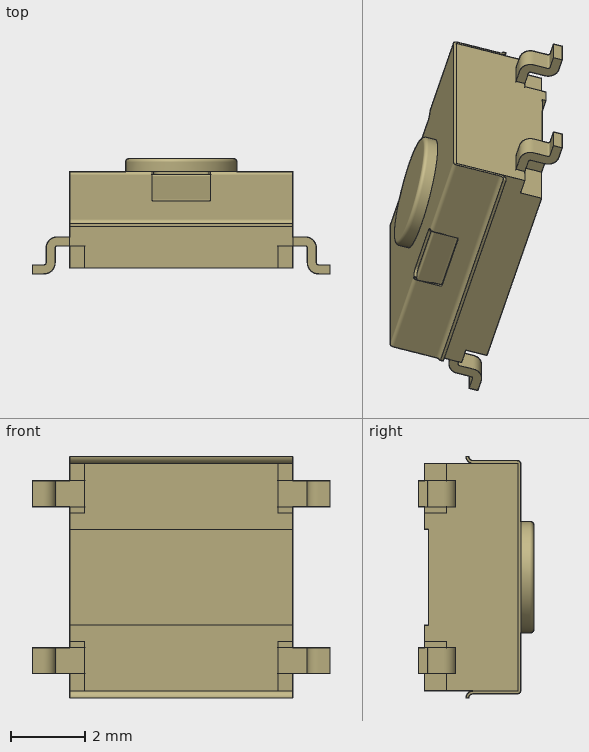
import cadquery as cq
import math


housing_width = 6.0
housing_depth = 6.11
housing_bottom = 0.16
housing_top = 2.67
channel_width = 2.58
channel_depth = 0.1
corner_notch_width = 0.41
corner_notch_inner_z = 1.73

sheet = 0.08
cover_corner_radius = 0.1
flange_end = 1.46
lip_inner_radius = 0.11
lip_tip_radius = 0.04

latch_width = 1.58
latch_base = 2.01
latch_edge_radius = 0.05
window_bottom = 1.96
window_corner_radius = 0.04
relief_inset = 0.04
relief_reach = 0.32
relief_radius = 0.18

button_diameter = 3.0
button_top = 3.1
button_edge_radius = 0.1

contact_span = 8.0
contact_width = 0.7
contact_pitch = 4.48
contact_thickness = 0.25
contact_top = 1.0
leg_outer_x = 3.63
bend_inner_radius = 0.06

housing_side = housing_depth / 2
cover_top = housing_top + sheet
cover_side = housing_side + sheet
lip_outer_radius = lip_inner_radius + sheet
lip_tip_z = housing_side + lip_outer_radius
contact_bottom = contact_top - contact_thickness
contact_places = (-contact_pitch / 2, contact_pitch / 2)


def block(x_range, y_range, z_range):
    """Box between the given limits on each axis."""
    spans = [high - low for low, high in (x_range, y_range, z_range)]
    corner = (x_range[0], y_range[0], z_range[0])
    return cq.Workplane("XY").box(*spans, centered=False).translate(corner)


def centred(size):
    """Limits of a size centred on zero."""
    return (-size / 2, size / 2)


def both_z_sides(shape):
    """The shape together with its mirror image across Z = 0."""
    return shape.union(shape.mirror("XY"))


def arc_middle(centre, radius, degrees):
    """Point on an arc at the given angle, used as its through point."""
    angle = math.radians(degrees)
    return (centre[0] + radius * math.cos(angle), centre[1] + radius * math.sin(angle))


def extrude_along_x(z_y_profile, width):
    """Solid of the given width, centred in X, from a profile drawn in Z (across) and Y (up)."""
    return z_y_profile.extrude(width / 2, both=True)


def z_y_plane():
    """Workplane whose first axis is Z and second axis is Y."""
    return cq.Workplane(cq.Plane(origin=(0, 0, 0), xDir=(0, 0, 1), normal=(-1, 0, 0)))


def contact_strip(z_place):
    """Flat strip through the housing, bent down and out into a foot at each end."""
    t = contact_thickness
    r_in = bend_inner_radius
    r_out = r_in + t
    tip_x = contact_span / 2
    leg_inner_x = leg_outer_x - t
    upper_centre = (leg_outer_x - r_out, contact_top - r_out)
    lower_centre = (leg_inner_x + r_out, r_out)
    half = (
        cq.Workplane("XY")
        .moveTo(0, contact_top)
        .lineTo(upper_centre[0], contact_top)
        .threePointArc(arc_middle(upper_centre, r_out, 45), (leg_outer_x, upper_centre[1]))
        .lineTo(leg_outer_x, lower_centre[1])
        .threePointArc(arc_middle(lower_centre, r_in, 225), (lower_centre[0], t))
        .lineTo(tip_x, t)
        .lineTo(tip_x, 0)
        .lineTo(lower_centre[0], 0)
        .threePointArc(arc_middle(lower_centre, r_out, 225), (leg_inner_x, lower_centre[1]))
        .lineTo(leg_inner_x, upper_centre[1])
        .threePointArc(arc_middle(upper_centre, r_in, 45), (upper_centre[0], contact_bottom))
        .lineTo(0, contact_bottom)
        .close()
        .extrude(contact_width / 2, both=True)
    )
    return half.union(half.mirror("YZ")).translate((0, 0, z_place))


def latch_wedge():
    """Wedge on the +Z housing side, thickest at the top and rounded along its top edge."""
    root_z = housing_side - sheet
    wedge = extrude_along_x(
        z_y_plane()
        .moveTo(root_z, latch_base)
        .lineTo(housing_side, latch_base)
        .lineTo(cover_side, housing_top)
        .lineTo(root_z, housing_top)
        .close(),
        latch_width,
    )
    return wedge.edges("|X and >Y and >Z").fillet(latch_edge_radius)


def make_housing(contacts):
    """Moulded body with an underside channel, corner notches, latches and contact slots."""
    body = block(centred(housing_width), (housing_bottom, housing_top), centred(housing_depth))
    channel = block(
        centred(housing_width),
        (housing_bottom, housing_bottom + channel_depth),
        centred(channel_width),
    )
    body = body.cut(channel)
    notch = block(
        (housing_width / 2 - corner_notch_width, housing_width / 2),
        (housing_bottom, contact_bottom),
        (corner_notch_inner_z, housing_side),
    )
    notches = both_z_sides(notch.union(notch.mirror("YZ")))
    body = body.cut(notches).union(both_z_sides(latch_wedge()))
    for contact in contacts:
        body = body.cut(contact)
    return body


def cover_lip():
    """Quarter-round lip that turns outward at the lower end of the +Z flange."""
    centre = (lip_tip_z, flange_end)
    tip_y = centre[1] - lip_inner_radius
    lip = extrude_along_x(
        z_y_plane()
        .moveTo(housing_side, centre[1])
        .threePointArc(arc_middle(centre, lip_outer_radius, 225), (lip_tip_z, tip_y - sheet))
        .lineTo(lip_tip_z, tip_y)
        .threePointArc(arc_middle(centre, lip_inner_radius, 225), (cover_side, centre[1]))
        .close(),
        housing_width,
    )
    return lip.edges("|Y and >Z").fillet(lip_tip_radius)


def button_cylinder():
    """Plain disc standing on the housing top."""
    disc = cq.Workplane("XZ").circle(button_diameter / 2).extrude(housing_top - button_top)
    return disc.translate((0, housing_top, 0))


def cover_window():
    """Opening for the latch on the +Z side: the flange window and its relief in the top plate."""
    opening = block(centred(latch_width), (window_bottom, cover_top), (housing_side, cover_side))
    opening = opening.edges("|Z and <Y").fillet(window_corner_radius)
    relief = block(
        centred(latch_width - 2 * relief_inset),
        (housing_top, cover_top),
        (cover_side - relief_reach, cover_side),
    )
    relief = relief.edges("|Y and <Z").fillet(relief_radius)
    return opening.union(relief)


def make_cover():
    """Channel of thin sheet over the housing, with lips, latch windows and a button hole."""
    shell = block(centred(housing_width), (flange_end, cover_top), centred(2 * cover_side))
    shell = shell.edges("|X and >Y").fillet(cover_corner_radius)
    inside = block(centred(housing_width), (flange_end, housing_top), centred(housing_depth))
    shell = shell.cut(inside)
    shell = shell.union(both_z_sides(cover_lip()))
    shell = shell.cut(both_z_sides(cover_window()))
    return shell.cut(button_cylinder())


def make_button():
    """Round button with a softened top edge, standing on the housing."""
    return button_cylinder().edges(">Y").fillet(button_edge_radius)


contacts = [contact_strip(z) for z in contact_places]
housing = make_housing(contacts)
cover = make_cover()
button = make_button()

bodies = [housing, cover, button, *contacts]
result = cq.Compound.makeCompound([body.solids().val() for body in bodies])